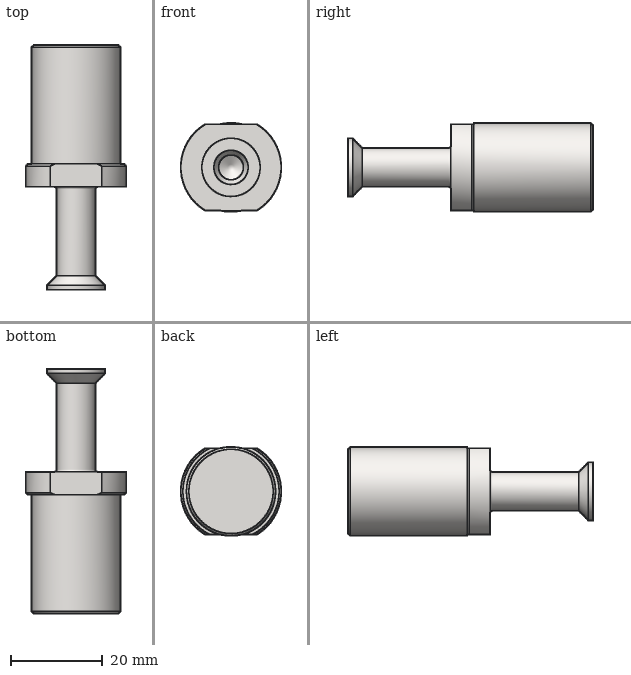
import cadquery as cq
import math

total_length = 53.5

body_diameter = 19.5
body_length = 26.0
body_chamfer = 0.55

flange_diameter = 22.0
flange_thickness = 5.05
flange_chamfer = 0.5
flange_across_flats = 18.9

stem_diameter = 8.55
stem_root_radius = 0.5

head_diameter = 12.75
head_rim_thickness = 1.0
head_cone_length = (head_diameter - stem_diameter) / 2

hole_diameter = 5.4
hole_depth = 15.0
hole_tip_angle = 120.0
countersink_diameter = 7.5
countersink_angle = 60.0

flange_front = total_length - body_length - flange_thickness
flange_back = total_length - body_length


def cone_length(large_diameter, small_diameter, included_angle):
    """Axial length of a cone between two diameters."""
    return (large_diameter - small_diameter) / 2 / math.tan(math.radians(included_angle / 2))


def disc(start, length, diameter):
    """Cylinder about the Y axis, from start towards +Y."""
    return cq.Workplane("XZ", origin=(0, start, 0)).circle(diameter / 2).extrude(-length)


def make_body():
    body = disc(flange_back, body_length, body_diameter)
    return body.faces(">Y").chamfer(body_chamfer)


def make_flange():
    flange = disc(flange_front, flange_thickness, flange_diameter)
    flange = flange.faces(">Y").chamfer(flange_chamfer)
    between_flats = cq.Workplane("XY").box(flange_diameter, 2 * total_length, flange_across_flats)
    return flange.intersect(between_flats)


def make_stem_and_head():
    """Stem that flares into the flange at its root and into the head at its free end."""
    stem_radius = stem_diameter / 2
    head_radius = head_diameter / 2
    root_start = flange_front - stem_root_radius
    root_centre_x = stem_radius + stem_root_radius
    arc_offset = stem_root_radius * math.sqrt(0.5)
    profile = (
        cq.Workplane("XY")
        .lineTo(head_radius, 0)
        .lineTo(head_radius, head_rim_thickness)
        .lineTo(stem_radius, head_rim_thickness + head_cone_length)
        .lineTo(stem_radius, root_start)
        .threePointArc(
            (root_centre_x - arc_offset, root_start + arc_offset),
            (root_centre_x, flange_front),
        )
        .lineTo(0, flange_front)
        .close()
    )
    return profile.revolve(360, (0, 0, 0), (0, 1, 0))


def make_hole():
    """Countersunk blind hole with a conical drill tip, opening in the head."""
    hole_radius = hole_diameter / 2
    profile = (
        cq.Workplane("XY")
        .lineTo(countersink_diameter / 2, 0)
        .lineTo(hole_radius, cone_length(countersink_diameter, hole_diameter, countersink_angle))
        .lineTo(hole_radius, hole_depth)
        .lineTo(0, hole_depth + cone_length(hole_diameter, 0, hole_tip_angle))
        .close()
    )
    return profile.revolve(360, (0, 0, 0), (0, 1, 0))


solid_part = make_body().union(make_flange()).union(make_stem_and_head())
result = solid_part.cut(make_hole())